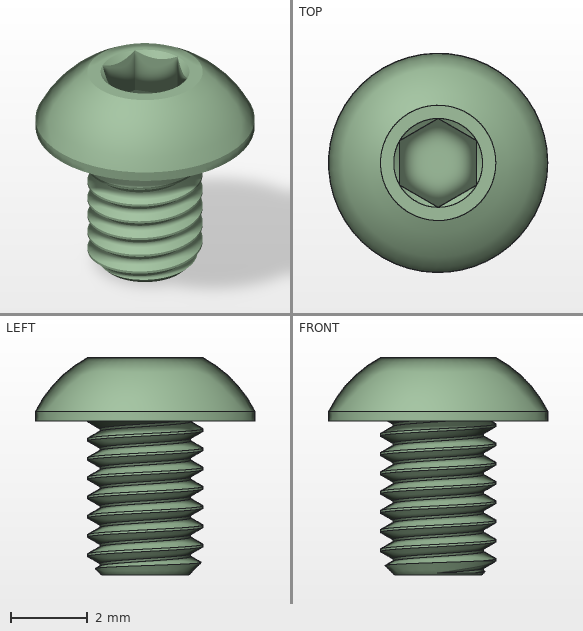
import cadquery as cq
import math


head_radius = 2.85
head_height = 1.65
rim_height = 0.25
top_flat_radius = 1.5

shank_length = 4.0
turn_count = 8
pitch = shank_length / turn_count
thread_radius = top_flat_radius
root_radius = 1.18
tip_radius = 1.13
crest_width = pitch / 8
crest_height = 0.395
flank_angle = 30.0

socket_across_flats = 2.0
socket_depth = 1.18
countersink_angle = 45.0

cut_margin = 0.02


def make_head():
    """Domed head; the dome is part of a sphere centred on the screw axis."""
    sphere_centre = (
        top_flat_radius**2 + head_height**2 - head_radius**2 - rim_height**2
    ) / (2 * (head_height - rim_height))
    sphere_radius = math.hypot(head_radius, rim_height - sphere_centre)
    mid_height = (rim_height + head_height) / 2
    mid_radius = math.sqrt(sphere_radius**2 - (mid_height - sphere_centre) ** 2)
    profile = (
        cq.Workplane("XZ")
        .lineTo(head_radius, 0)
        .lineTo(head_radius, rim_height)
        .threePointArc((mid_radius, mid_height), (top_flat_radius, head_height))
        .lineTo(0, head_height)
        .close()
    )
    head = profile.revolve(360, (0, 0, 0), (0, 1, 0))
    return head.translate((0, 0, shank_length))


def make_groove_turn():
    """One right-handed turn of the V groove, bounded by ruled helical faces."""
    slope = math.tan(math.radians(flank_angle))
    outer_half_width = (pitch - crest_width) / 2 + cut_margin * slope
    outer_radius = thread_radius + cut_margin
    root_half_width = outer_half_width - (outer_radius - root_radius) * slope
    corners = [
        (root_radius, -root_half_width),
        (outer_radius, -outer_half_width),
        (outer_radius, outer_half_width),
        (root_radius, root_half_width),
    ]
    helices = []
    for radius, height in corners:
        helix = cq.Wire.makeHelix(pitch, pitch, radius).Edges()[0]
        helices.append(helix.translate(cq.Vector(0, 0, height)))
    faces = []
    for index, helix in enumerate(helices):
        faces.append(cq.Face.makeRuledSurface(helices[index - 1], helix))
    for end in (0, 1):
        points = [helix.positionAt(end) for helix in helices]
        faces.append(cq.Face.makeFromWires(cq.Wire.makePolygon(points, close=True)))
    return cq.Workplane(cq.Solid.makeSolid(cq.Shell.makeShell(faces)))


def make_shank():
    """Threaded cylinder with a 45 degree chamfer at the tip."""
    shank = (
        cq.Workplane("XY")
        .circle(thread_radius)
        .extrude(shank_length)
        .faces("<Z")
        .chamfer(thread_radius - tip_radius)
    )
    groove_turn = make_groove_turn()
    start_height = crest_height - 1.5 * pitch
    for turn in range(turn_count + 2):
        placed_turn = groove_turn.translate((0, 0, start_height + turn * pitch))
        shank = shank.cut(placed_turn, clean=False)
    return shank


def make_socket():
    """Hexagon recess, corners on the Y axis, with a conical lead-in."""
    top = shank_length + head_height
    corner_radius = socket_across_flats / math.sqrt(3)
    hexagon = (
        cq.Workplane("XY")
        .workplane(offset=top - socket_depth)
        .polygon(6, 2 * corner_radius)
        .extrude(socket_depth)
        .rotate((0, 0, 0), (0, 0, 1), 30)
    )
    cone_depth = corner_radius * math.tan(math.radians(countersink_angle))
    lead_in = (
        cq.Workplane("XZ")
        .moveTo(0, top - cone_depth)
        .lineTo(corner_radius, top)
        .lineTo(0, top)
        .close()
        .revolve(360, (0, 0, 0), (0, 1, 0))
    )
    return hexagon.union(lead_in)


result = make_shank().union(make_head()).cut(make_socket())